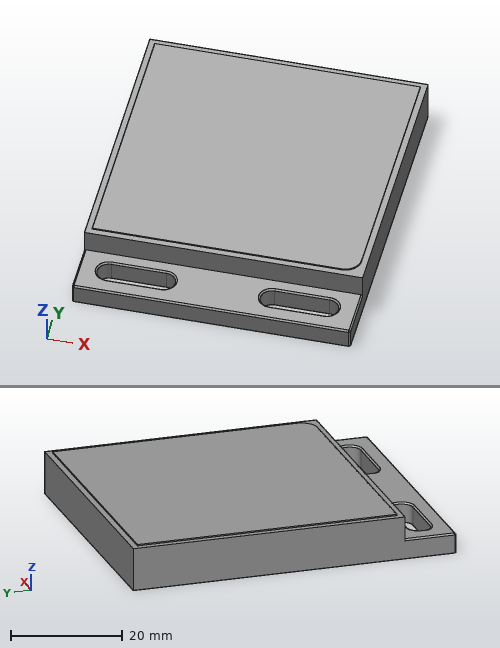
import cadquery as cq

width = 51.3
depth = 61.0
height = 8.3

pad_height = 0.25
pad_margin = 1.15
pad_corner_radius = 3.0

flange_depth = 9.7
flange_height = 3.8
edge_chamfer = 0.3

slot_length = 14.4
slot_width = 4.3
slot_side_distance = 10.6
slot_front_distance = 5.25

body_depth = depth - flange_depth
body_height = height - pad_height
front_y = -depth / 2
step_y = front_y + flange_depth
body_center_y = step_y + body_depth / 2


def make_body():
    return (
        cq.Workplane("XY")
        .center(0, body_center_y)
        .rect(width, body_depth)
        .extrude(body_height)
    )


def make_pad():
    """Thin pad with one rounded corner at front right."""
    return (
        cq.Workplane("XY")
        .workplane(offset=body_height)
        .center(0, body_center_y)
        .rect(width - 2 * pad_margin, body_depth - 2 * pad_margin)
        .extrude(pad_height)
        .edges("|Z and >X and <Y")
        .fillet(pad_corner_radius)
    )


def make_flange():
    """Low plate with chamfered front corners and top rim."""
    plate = (
        cq.Workplane("XY")
        .center(0, front_y + flange_depth / 2)
        .rect(width, flange_depth)
        .extrude(flange_height)
    )
    plate = plate.edges("|Z and <Y").chamfer(edge_chamfer)
    return plate.faces(">Z").edges("not >Y").chamfer(edge_chamfer)


def make_slot_cutter(center_x):
    """Through slot with a chamfered upper rim."""
    center_y = front_y + slot_front_distance
    slot = (
        cq.Workplane("XY")
        .center(center_x, center_y)
        .slot2D(slot_length, slot_width)
        .extrude(flange_height)
    )
    rim = (
        cq.Workplane("XY")
        .workplane(offset=flange_height)
        .center(center_x, center_y)
        .slot2D(slot_length + 2 * edge_chamfer, slot_width + 2 * edge_chamfer)
        .extrude(-edge_chamfer, taper=45)
    )
    return slot.union(rim)


result = make_body().union(make_pad()).union(make_flange())
slot_x = width / 2 - slot_side_distance
for center_x in (-slot_x, slot_x):
    result = result.cut(make_slot_cutter(center_x))